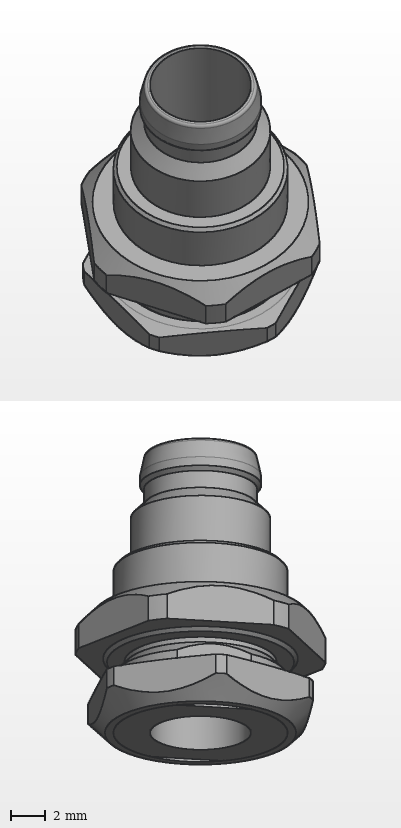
import cadquery as cq
import math

TOTAL_HEIGHT = 16.8
BORE_RADIUS = 2.89
HEX_SIDES = 6

THREAD_RADIUS = 4.99
RELIEF_RADIUS = 4.37
THREAD_SHOULDER_Z = 3.36
FLAT_SPACING = 9.0
FLAT_DIRECTION = 120.0

HEX_ACROSS_FLATS = 13.0
HEX_CORNER_DIAMETER = 14.4
HEX_TOP_RADIUS = 6.18
HEX_CORNER_DIRECTION = 90.0
HEX_BOTTOM_Z = 4.5
HEX_TOP_Z = 7.0

COLLAR_TOP_Z = 10.0
COLLAR_CHAMFER = 0.2

SPIGOT_RADIUS = 4.0
SPIGOT_TOP_Z = 13.0
NECK_RADIUS = 3.25
BARB_RADIUS = 3.48
BARB_BOTTOM_Z = 15.02
BARB_CONE_Z = 15.55
TIP_RADIUS = 3.21
TIP_FILLET = 0.2

SEAL_TOP_RADIUS = 5.58
SEAL_HEIGHT = 0.22

NUT_ACROSS_FLATS = 12.0
NUT_CORNER_DIAMETER = 13.5
NUT_CORNER_DIRECTION = 0.0
NUT_HEIGHT = 2.5
NUT_COUNTERSINK = 0.15
NUT_BOTTOM_RADIUS = 5.48
NUT_FACE_RADIUS = 5.71
NUT_TOP_SLOPE = 4.5


def revolve_profile(points):
    """Turn a closed (radius, height) outline once around the Z axis."""
    return cq.Workplane("XZ").polyline(points).close().revolve(360, (0, 0), (0, 1))


def hex_prism(across_flats, bottom_z, height, corner_direction):
    """Hexagonal prism with one corner pointing corner_direction degrees from +X."""
    corner_circle = across_flats / math.cos(math.pi / HEX_SIDES)
    prism = cq.Workplane("XY").polygon(HEX_SIDES, corner_circle).extrude(height)
    return prism.rotate((0, 0, 0), (0, 0, 1), corner_direction).translate((0, 0, bottom_z))


def make_hexagon():
    """Hexagon with turned-off corners and a 45 degree chamfer on its upper side."""
    corner_radius = HEX_CORNER_DIAMETER / 2
    turned_blank = revolve_profile([
        (0, HEX_BOTTOM_Z),
        (corner_radius, HEX_BOTTOM_Z),
        (corner_radius, HEX_TOP_Z - (corner_radius - HEX_TOP_RADIUS)),
        (HEX_TOP_RADIUS, HEX_TOP_Z),
        (0, HEX_TOP_Z),
    ])
    prism = hex_prism(HEX_ACROSS_FLATS, HEX_BOTTOM_Z, HEX_TOP_Z - HEX_BOTTOM_Z, HEX_CORNER_DIRECTION)
    return turned_blank.intersect(prism)


def make_threaded_section():
    """Plain thread cylinder with two opposite flats and a relief below the hexagon."""
    section = revolve_profile([
        (0, 0),
        (THREAD_RADIUS, 0),
        (THREAD_RADIUS, THREAD_SHOULDER_Z),
        (RELIEF_RADIUS, THREAD_SHOULDER_Z + THREAD_RADIUS - RELIEF_RADIUS),
        (RELIEF_RADIUS, HEX_BOTTOM_Z),
        (0, HEX_BOTTOM_Z),
    ])
    flats = (
        cq.Workplane("XY")
        .rect(FLAT_SPACING, 2 * THREAD_RADIUS)
        .extrude(HEX_BOTTOM_Z)
        .rotate((0, 0, 0), (0, 0, 1), FLAT_DIRECTION)
    )
    return section.intersect(flats)


def make_collar_and_spigot():
    """Chamfered collar, then the spigot with its neck and snap-in barb."""
    outline = revolve_profile([
        (0, HEX_TOP_Z),
        (THREAD_RADIUS, HEX_TOP_Z),
        (THREAD_RADIUS, COLLAR_TOP_Z - COLLAR_CHAMFER),
        (THREAD_RADIUS - COLLAR_CHAMFER, COLLAR_TOP_Z),
        (SPIGOT_RADIUS, COLLAR_TOP_Z),
        (SPIGOT_RADIUS, SPIGOT_TOP_Z),
        (NECK_RADIUS, SPIGOT_TOP_Z + SPIGOT_RADIUS - NECK_RADIUS),
        (NECK_RADIUS, BARB_BOTTOM_Z - (BARB_RADIUS - NECK_RADIUS)),
        (BARB_RADIUS, BARB_BOTTOM_Z),
        (BARB_RADIUS, BARB_CONE_Z),
        (TIP_RADIUS, TOTAL_HEIGHT),
        (0, TOTAL_HEIGHT),
    ])
    return outline.faces(">Z").edges().fillet(TIP_FILLET)


def make_housing():
    """One-piece housing with a plain bore right through it."""
    bore = cq.Workplane("XY").circle(BORE_RADIUS).extrude(TOTAL_HEIGHT)
    outside = make_threaded_section().union(make_hexagon()).union(make_collar_and_spigot())
    return outside.cut(bore)


def make_seal():
    """Ring around the relief, against the hexagon, narrowing downwards at 45 degrees."""
    seal_bottom_z = HEX_BOTTOM_Z - SEAL_HEIGHT
    return revolve_profile([
        (RELIEF_RADIUS, seal_bottom_z),
        (SEAL_TOP_RADIUS - SEAL_HEIGHT, seal_bottom_z),
        (SEAL_TOP_RADIUS, HEX_BOTTOM_Z),
        (RELIEF_RADIUS, HEX_BOTTOM_Z),
    ])


def make_nut():
    """Hexagon nut, chamfered at 45 degrees below and sloping off its countersunk face above."""
    corner_radius = NUT_CORNER_DIAMETER / 2
    top_drop = (corner_radius - NUT_FACE_RADIUS) * math.tan(math.radians(NUT_TOP_SLOPE))
    turned_blank = revolve_profile([
        (THREAD_RADIUS, 0),
        (NUT_BOTTOM_RADIUS, 0),
        (corner_radius, corner_radius - NUT_BOTTOM_RADIUS),
        (corner_radius, NUT_HEIGHT - top_drop),
        (NUT_FACE_RADIUS, NUT_HEIGHT),
        (THREAD_RADIUS + NUT_COUNTERSINK, NUT_HEIGHT),
        (THREAD_RADIUS, NUT_HEIGHT - NUT_COUNTERSINK),
    ])
    prism = hex_prism(NUT_ACROSS_FLATS, 0, NUT_HEIGHT, NUT_CORNER_DIRECTION)
    return turned_blank.intersect(prism)


housing = make_housing()
seal = make_seal()
nut = make_nut()

result = cq.Compound.makeCompound([housing.solids().val(), seal.solids().val(), nut.solids().val()])